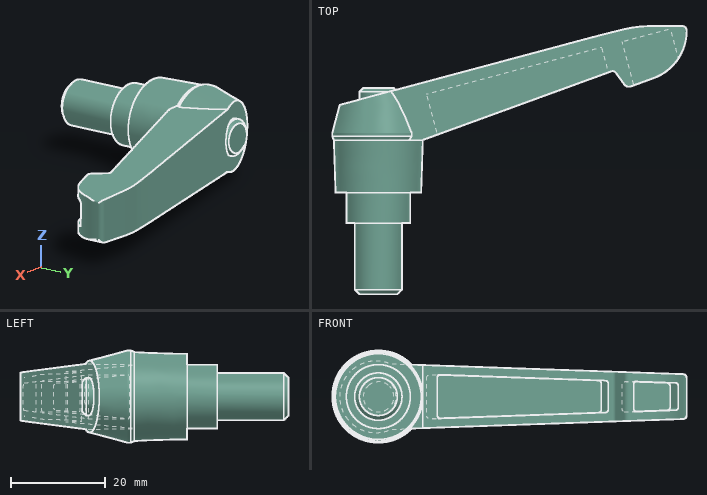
import cadquery as cq
import math


ROD_DIAMETER = 10.0
ROD_LENGTH = 15.0
ROD_CHAMFER = 1.0
COLLAR_DIAMETER = 13.5
COLLAR_LENGTH = 6.4
BODY_BOTTOM_RADIUS = 9.05
BODY_TOP_RADIUS = 9.4
BODY_LENGTH = 11.1

RIM_RADIUS = 9.745
RIM_BEVEL_HEIGHT = 0.75
RIM_BAND_HEIGHT = 0.75
CAP_DRAFT = 15.0

HEAD_DIAMETER = 8.0
HEAD_CHAMFER = 0.8
HEAD_TOP = 28.5

TOP_ANGLE = 15.0
UNDERSIDE_ANGLE = 20.0
TOP_PLANE_HEIGHT = 27.1
ARM_TOP = 41.55
ARM_END = 65.005
TOP_LINE_END = 44.0
TOP_BEND = (51.7, 40.85)
TOP_FLAT_START = 57.0
UNDERSIDE_START = 9.4
NOTCH_X = 49.67
NOTCH_ANGLE = 54.0
NOTCH_RUN = 2.68
NOTCH_ROOT_RADIUS = 0.8
NOTCH_LIP_RADIUS = 1.2
TIP_ARC_START = 58.0
TIP_CORNER_RADIUS = 1.0

ARM_HALF_WIDTH = 7.0
ARM_TAPER = 2.0
TIP_EDGE_RADIUS = 0.85

POCKET_WALL = 2.0
POCKET_FLOOR_THICKNESS = 2.5
POCKET_CORNER_RADIUS = 0.7
POCKET_CUT_DEPTH = 20.0
GRIP_POCKET_FLOOR = (10.1, 47.0)
TIP_POCKET_FLOOR = (51.3, 61.5)

BODY_TOP = COLLAR_LENGTH + BODY_LENGTH


def slope(angle):
    return math.tan(math.radians(angle))


def top_height(x):
    """Height of the sloping top plane shared by cap and arm."""
    return TOP_PLANE_HEIGHT + x * slope(TOP_ANGLE)


def arm_half_width(x):
    """Half of the arm's width, narrowing evenly away from the stud axis."""
    return ARM_HALF_WIDTH - x * slope(ARM_TAPER)


def make_hub():
    """Rod, collar, drafted body and conical cap, trimmed by the sloping top plane."""
    rod_radius = ROD_DIAMETER / 2
    band_bottom = BODY_TOP + RIM_BEVEL_HEIGHT
    cone_bottom = band_bottom + RIM_BAND_HEIGHT
    cone_top = top_height(RIM_RADIUS)
    cone_top_radius = RIM_RADIUS - (cone_top - cone_bottom) * slope(CAP_DRAFT)
    hub = (
        cq.Workplane("XY")
        .moveTo(0, -ROD_LENGTH)
        .lineTo(rod_radius - ROD_CHAMFER, -ROD_LENGTH)
        .lineTo(rod_radius, ROD_CHAMFER - ROD_LENGTH)
        .lineTo(rod_radius, 0)
        .lineTo(COLLAR_DIAMETER / 2, 0)
        .lineTo(COLLAR_DIAMETER / 2, COLLAR_LENGTH)
        .lineTo(BODY_BOTTOM_RADIUS, COLLAR_LENGTH)
        .lineTo(BODY_TOP_RADIUS, BODY_TOP)
        .lineTo(RIM_RADIUS, band_bottom)
        .lineTo(RIM_RADIUS, cone_bottom)
        .lineTo(cone_top_radius, cone_top)
        .lineTo(0, cone_top)
        .close()
        .revolve(360, (0, 0, 0), (0, 1, 0))
    )
    above_top_plane = (
        cq.Workplane("XY")
        .moveTo(-RIM_RADIUS, top_height(-RIM_RADIUS))
        .lineTo(RIM_RADIUS, cone_top)
        .lineTo(-RIM_RADIUS, cone_top)
        .close()
        .extrude(RIM_RADIUS, both=True)
    )
    return hub.cut(above_top_plane)


def make_screw_head():
    """Chamfered head of the retaining screw, rooted inside the cap."""
    return (
        cq.Workplane("XZ", origin=(0, BODY_TOP, 0))
        .circle(HEAD_DIAMETER / 2)
        .extrude(BODY_TOP - HEAD_TOP)
        .faces(">Y")
        .chamfer(HEAD_CHAMFER)
    )


def make_arm():
    """Side profile of the arm, trimmed to its tapering width."""
    root_y = BODY_TOP + (NOTCH_X - UNDERSIDE_START) * slope(UNDERSIDE_ANGLE)
    lip_x = NOTCH_X + NOTCH_RUN
    lip_y = root_y - NOTCH_RUN * slope(NOTCH_ANGLE)
    tip_arc_y = lip_y + (TIP_ARC_START - lip_x) * slope(UNDERSIDE_ANGLE)
    corner_offset = TIP_CORNER_RADIUS * (1 - math.sqrt(0.5))
    side = (
        cq.Workplane("XY")
        .moveTo(0, BODY_TOP)
        .lineTo(0, top_height(0))
        .lineTo(TOP_LINE_END, top_height(TOP_LINE_END))
        .tangentArcPoint(TOP_BEND, relative=False)
        .tangentArcPoint((TOP_FLAT_START, ARM_TOP), relative=False)
        .lineTo(ARM_END - TIP_CORNER_RADIUS, ARM_TOP)
        .threePointArc(
            (ARM_END - corner_offset, ARM_TOP - corner_offset),
            (ARM_END, ARM_TOP - TIP_CORNER_RADIUS),
        )
        .tangentArcPoint((TIP_ARC_START, tip_arc_y), relative=False)
        .lineTo(lip_x, lip_y)
        .lineTo(NOTCH_X, root_y)
        .lineTo(UNDERSIDE_START, BODY_TOP)
        .close()
        .extrude(ARM_HALF_WIDTH, both=True)
    )
    side = round_notch_edge(side, NOTCH_X, root_y, NOTCH_ROOT_RADIUS)
    side = round_notch_edge(side, lip_x, lip_y, NOTCH_LIP_RADIUS)
    end_half_width = arm_half_width(ARM_END)
    plan = (
        cq.Workplane("XZ", origin=(0, BODY_TOP, 0))
        .moveTo(0, -ARM_HALF_WIDTH)
        .lineTo(ARM_END, -end_half_width)
        .lineTo(ARM_END, end_half_width)
        .lineTo(0, ARM_HALF_WIDTH)
        .close()
        .extrude(BODY_TOP - ARM_TOP)
        .edges("|Y and >X")
        .fillet(TIP_EDGE_RADIUS)
    )
    return side.intersect(plan)


def round_notch_edge(side, x, y, radius):
    """Fillet the edge that crosses the arm's width at the given point of its side profile."""
    return side.edges(cq.selectors.NearestToPointSelector((x, y, 0))).fillet(radius)


def make_pocket(floor_start, floor_end):
    """Tapered pocket cutter; its floor is parallel to the top plane and its walls square to it."""
    tilt = math.radians(TOP_ANGLE)
    floor_y = top_height(floor_start) - POCKET_FLOOR_THICKNESS / math.cos(tilt)
    floor_plane = cq.Plane(
        origin=(floor_start, floor_y, 0),
        xDir=(math.cos(tilt), math.sin(tilt), 0),
        normal=(math.sin(tilt), -math.cos(tilt), 0),
    )
    length = (floor_end - floor_start) / math.cos(tilt)
    start_half = arm_half_width(floor_start) - POCKET_WALL
    end_half = arm_half_width(floor_end) - POCKET_WALL
    return (
        cq.Workplane(floor_plane)
        .moveTo(0, -start_half)
        .lineTo(length, -end_half)
        .lineTo(length, end_half)
        .lineTo(0, start_half)
        .close()
        .extrude(POCKET_CUT_DEPTH)
        .edges(cq.selectors.ParallelDirSelector(floor_plane.zDir))
        .fillet(POCKET_CORNER_RADIUS)
    )


arm = make_arm()
for floor_range in (GRIP_POCKET_FLOOR, TIP_POCKET_FLOOR):
    arm = arm.cut(make_pocket(*floor_range))

result = make_hub().union(make_screw_head()).union(arm)